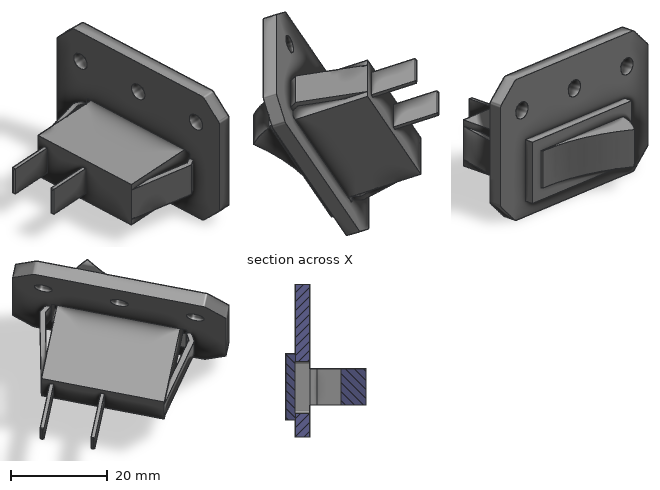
import cadquery as cq

PLATE_WIDTH = 45.0
PLATE_HEIGHT = 31.5
PLATE_THICKNESS = 3.0
CORNER_CUT = 4.5
CORNER_RADIUS = 1.0

HOLE_DIAMETER = 3.7
HOLE_PITCH = 16.0
HOLE_COUNT = 3
HOLE_Z = PLATE_HEIGHT / 2 - 7.4

WINDOW_WIDTH = 28.6
WINDOW_HEIGHT = 10.6
WINDOW_RADIUS = 0.5
WINDOW_Z = -5.5

SWITCH_X = -0.15
HOUSING_WIDTH = 25.9
HOUSING_HEIGHT = 10.3
HOUSING_DEPTH = 16.4
SWITCH_Z = -5.4

BEZEL_WIDTH = 30.25
BEZEL_HEIGHT = 13.7
BEZEL_THICKNESS = 2.0
BEZEL_REAR_Y = PLATE_THICKNESS + BEZEL_THICKNESS

ROCKER_HALF_WIDTH = 12.45
ROCKER_HEIGHT = 8.3
ROCKER_PEAK = (-8.9, 6.5)
ROCKER_END_ARC_MIDDLE = (-11.07, 3.6)
ROCKER_FACE_ARC_MIDDLE = (1.27, 1.86)
ROCKER_LOW_EDGE = (12.35, 0.37)

CLIP_HEIGHT = 7.5
CLIP_REACH = 16.2
CLIP_WIDTH = 1.1
CLIP_BEND_Y = -1.5
CLIP_BEND_FLAT = 0.4
CLIP_OUTER_X_AT_PLATE = 15.4
CLIP_INNER_X_AT_PLATE = 14.25
CLIP_OUTER_ROOT_Y = -HOUSING_DEPTH
CLIP_INNER_ROOT_Y = -11.2

TERMINAL_THICKNESS = 0.8
TERMINAL_WIDTH = 6.35
TERMINAL_LENGTH = 10.16
TERMINAL_CHAMFER = 0.25
TERMINAL_OFFSETS = (-10.75, -0.05)


def block(width, height, rear_y, depth, x, z):
    """Box with its rear face on rear_y, running toward -Y by depth."""
    return (
        cq.Workplane("XZ", origin=(x, rear_y, z))
        .rect(width, height)
        .extrude(depth)
    )


def make_plate():
    plate = (
        block(PLATE_WIDTH, PLATE_HEIGHT, PLATE_THICKNESS, PLATE_THICKNESS, 0, 0)
        .edges("|Y").chamfer(CORNER_CUT)
        .edges("|Y").fillet(CORNER_RADIUS)
    )
    window = (
        block(WINDOW_WIDTH, WINDOW_HEIGHT, PLATE_THICKNESS, PLATE_THICKNESS, 0, WINDOW_Z)
        .edges("|Y").fillet(WINDOW_RADIUS)
    )
    holes = (
        cq.Workplane("XZ", origin=(0, PLATE_THICKNESS, HOLE_Z))
        .rarray(HOLE_PITCH, 1, HOLE_COUNT, 1)
        .circle(HOLE_DIAMETER / 2)
        .extrude(PLATE_THICKNESS)
    )
    return plate.cut(window).cut(holes)


def make_rocker():
    return (
        cq.Workplane("XY", origin=(SWITCH_X, BEZEL_REAR_Y, SWITCH_Z))
        .moveTo(-ROCKER_HALF_WIDTH, 0)
        .threePointArc(ROCKER_END_ARC_MIDDLE, ROCKER_PEAK)
        .threePointArc(ROCKER_FACE_ARC_MIDDLE, ROCKER_LOW_EDGE)
        .lineTo(ROCKER_HALF_WIDTH, 0)
        .close()
        .extrude(ROCKER_HEIGHT / 2, both=True)
    )


def make_clip(side):
    """Bent spring leg from the housing side to the plate; side is -1 or +1 along X."""
    wall_x = HOUSING_WIDTH / 2
    profile = [
        (wall_x, CLIP_OUTER_ROOT_Y),
        (CLIP_REACH, CLIP_BEND_Y - CLIP_BEND_FLAT),
        (CLIP_REACH, CLIP_BEND_Y),
        (CLIP_OUTER_X_AT_PLATE, 0),
        (CLIP_INNER_X_AT_PLATE, 0),
        (CLIP_REACH - CLIP_WIDTH, CLIP_BEND_Y),
        (wall_x, CLIP_INNER_ROOT_Y),
    ]
    return (
        cq.Workplane("XY", origin=(SWITCH_X, 0, SWITCH_Z))
        .polyline([(side * x, y) for x, y in profile])
        .close()
        .extrude(CLIP_HEIGHT / 2, both=True)
    )


def make_terminal(offset):
    x = SWITCH_X + offset
    return (
        block(TERMINAL_THICKNESS, TERMINAL_WIDTH, -HOUSING_DEPTH, TERMINAL_LENGTH, x, SWITCH_Z)
        .faces("<Y").chamfer(TERMINAL_CHAMFER)
    )


def make_switch():
    housing_length = PLATE_THICKNESS + HOUSING_DEPTH
    switch = block(HOUSING_WIDTH, HOUSING_HEIGHT, PLATE_THICKNESS, housing_length, SWITCH_X, SWITCH_Z)
    bezel = block(BEZEL_WIDTH, BEZEL_HEIGHT, BEZEL_REAR_Y, BEZEL_THICKNESS, SWITCH_X, SWITCH_Z)
    switch = switch.union(bezel).union(make_rocker())
    for side in (-1, 1):
        switch = switch.union(make_clip(side))
    for offset in TERMINAL_OFFSETS:
        switch = switch.union(make_terminal(offset))
    return switch


plate = make_plate()
switch = make_switch()

result = cq.Compound.makeCompound([plate.val(), *switch.vals()])